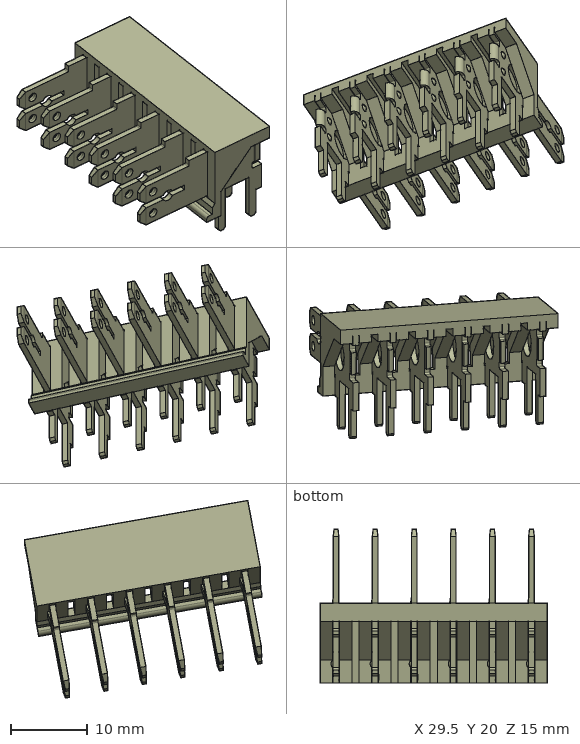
import cadquery as cq


row_length = 29.52
contact_count = 6
pitch = 5.08
contact_thickness = 0.77

housing_depth = 9.03
top_thickness = 1.92
wall_thickness = 1.0
wall_bottom = 10.85
gusset_rear = 3.05
step_depth = 9.45
step_start = 8.38
step_end = 8.92
lip_depth = 10.4
lip_top = 9.95
lip_radius = 0.47
wall_inside = housing_depth - wall_thickness
gusset_bottom = top_thickness + wall_inside - gusset_rear

slot_width = 0.92
slot_top = 0.95

shoulder_depth = 11.99
tab_top = 1.83
tab_bottom = 8.15
step_corner_radius = 0.15
total_depth = 20.0
tip_length = 0.95
tip_rise = 0.8
tip_thickness = 0.53
tip_start = total_depth - tip_length

fork_middle = 5.0
fork_gap = 0.7
fork_start = 12.75
fork_relief_depth = 15.47
fork_relief_diameter = 1.62
prong_hole_depth = 17.9
prong_hole_diameter = 1.2
prong_hole_spacing = 3.48

body_hole_depth = 6.05
body_hole_diameter = 4.0
body_bottom = 10.98
body_arch_top = 8.45
total_height = 15.0
pin_tip_chamfer = 0.32
rear_pin_start = 0.92
rear_pin_end = 2.07
front_pin_start = 6.0
front_pin_end = 7.1

notch_depth = 1.55
notch_top = 2.2
notch_bottom = 7.2
notch_radius = 0.25
curl_depth = 0.38
curl_top = 3.28
curl_bottom = 6.23
curl_radius = 0.85

dimple_depth = 2.5
dimple_drops = (3.87, 7.0)
dimple_diameter = 1.03
dimple_height = 0.27
latch_start = 9.12
latch_end = 11.1
latch_height = 0.3
latch_outer_half = 1.33
latch_root_half = 1.54


def at(depth, drop):
    """Point on the YZ plane."""
    return (-depth, -drop)


def plate(points, thickness):
    """Closed outline in the YZ plane, extruded evenly to both sides of X = 0."""
    return cq.Workplane("YZ").polyline(points).close().extrude(thickness / 2, both=True)


def block(depth_1, depth_2, drop_1, drop_2, thickness):
    """Box between two depths and two drops, centred on X = 0."""
    corners = [at(depth_1, drop_1), at(depth_2, drop_1), at(depth_2, drop_2), at(depth_1, drop_2)]
    return plate(corners, thickness)


def cross_hole(depth, drop, diameter):
    """Cylinder along X, long enough to pass through a contact."""
    hole = cq.Workplane("YZ").center(*at(depth, drop)).circle(diameter / 2)
    return hole.extrude(contact_thickness, both=True)


def make_housing():
    """Angled section with a gusset and front lip, slotted for contacts and vents."""
    outline = [
        at(0, 0),
        at(housing_depth, 0),
        at(housing_depth, step_start),
        at(step_depth, step_end),
        at(step_depth, lip_top),
        at(lip_depth, lip_top),
        at(lip_depth, wall_bottom),
        at(wall_inside, wall_bottom),
        at(wall_inside, gusset_bottom),
        at(gusset_rear, top_thickness),
        at(0, top_thickness),
    ]
    housing = plate(outline, row_length)
    lip_edge = cq.selectors.NearestToPointSelector((0, -lip_depth, -lip_top))
    housing = housing.edges(lip_edge).fillet(lip_radius)

    slot = block(0, housing_depth, slot_top, step_start, slot_width)
    for index in range(2 * contact_count - 1):
        x = (index - (contact_count - 1)) * pitch / 2
        housing = housing.cut(slot.translate((x, 0, 0)))
    return housing


def make_tab():
    """Forked front part of a contact, with prongs tapered at their tips."""
    tab = plate([
        at(wall_inside, slot_top),
        at(shoulder_depth, slot_top),
        at(shoulder_depth, tab_top),
        at(total_depth, tab_top),
        at(total_depth, tab_bottom),
        at(wall_inside, tab_bottom),
    ], contact_thickness)
    step_corner = cq.selectors.NearestToPointSelector((0, -shoulder_depth, -tab_top))
    tab = tab.edges(step_corner).fillet(step_corner_radius)

    fork_top = fork_middle - fork_gap / 2
    fork_bottom = fork_middle + fork_gap / 2
    tab = tab.cut(block(fork_start, total_depth, fork_top, fork_bottom, contact_thickness))
    tab = tab.cut(cross_hole(fork_relief_depth, fork_middle, fork_relief_diameter))
    for side in (-1, 1):
        hole_drop = fork_middle + side * prong_hole_spacing / 2
        tab = tab.cut(cross_hole(prong_hole_depth, hole_drop, prong_hole_diameter))

    for edge, direction in ((tab_top, 1), (fork_top, -1), (fork_bottom, 1), (tab_bottom, -1)):
        corner = [
            at(tip_start, edge),
            at(total_depth, edge),
            at(total_depth, edge + direction * tip_rise),
        ]
        tab = tab.cut(plate(corner, contact_thickness))

    for side in (-1, 1):
        taper = cq.Workplane("XY").polyline([
            (side * contact_thickness / 2, -tip_start),
            (side * contact_thickness / 2, -total_depth),
            (side * tip_thickness / 2, -total_depth),
        ]).close().extrude(-total_height)
        tab = tab.cut(taper)
    return tab


def make_pin(start, end):
    """Solder pin below the contact body, chamfered at its lower end."""
    pin = block(start, end, body_arch_top, total_height, contact_thickness)
    return pin.faces("<Z").edges("|X").chamfer(pin_tip_chamfer)


def make_curl():
    """Strip of sheet that runs rearward and bends through 90 degrees towards +X."""
    outer_x = -contact_thickness / 2
    centre_x = outer_x + curl_radius
    bend_start = curl_depth + curl_radius
    inner_radius = curl_radius - contact_thickness
    section = (
        cq.Workplane("XY")
        .moveTo(outer_x, -notch_depth)
        .lineTo(outer_x, -bend_start)
        .tangentArcPoint((centre_x, -curl_depth), relative=False)
        .lineTo(centre_x, -curl_depth - contact_thickness)
        .radiusArc((centre_x - inner_radius, -bend_start), -inner_radius)
        .lineTo(centre_x - inner_radius, -notch_depth)
        .close()
    )
    return section.extrude(curl_top - curl_bottom).translate((0, 0, -curl_top))


def make_body():
    """Part of a contact that sits behind the front wall and carries the pins."""
    body = block(0, wall_inside, slot_top, body_bottom, contact_thickness)
    body = body.cut(block(rear_pin_end, front_pin_start, body_arch_top, body_bottom, contact_thickness))
    body = body.cut(cross_hole(body_hole_depth, fork_middle, body_hole_diameter))

    for top, bottom in ((notch_top, curl_top), (curl_bottom, notch_bottom)):
        notch = block(0, notch_depth, top, bottom, contact_thickness)
        body = body.cut(notch.edges("|X and <Y").fillet(notch_radius))
    body = body.cut(block(0, notch_depth, curl_top, curl_bottom, contact_thickness))
    body = body.union(make_curl())

    for start, end in ((rear_pin_start, rear_pin_end), (front_pin_start, front_pin_end)):
        body = body.union(make_pin(start, end))
    return body


def make_dimple(drop):
    """Shallow spherical cap on the -X face of a contact."""
    radius = ((dimple_diameter / 2) ** 2 + dimple_height ** 2) / (2 * dimple_height)
    centre_x = radius - dimple_height - contact_thickness / 2
    ball = cq.Workplane("XY").sphere(radius).translate((centre_x, -dimple_depth, -drop))
    core = cq.Workplane("YZ").center(*at(dimple_depth, drop)).circle(dimple_diameter / 2)
    return ball.intersect(core.extrude(-contact_thickness / 2 - dimple_height))


def make_latch():
    """Wedge on the -X face that rises towards the housing."""
    face_x = -contact_thickness / 2
    wedge = cq.Workplane("XY").polyline([
        (face_x, -latch_start),
        (face_x - latch_height, -latch_start),
        (face_x, -latch_end),
    ]).close().extrude(-total_height)
    sides = plate([
        at(latch_start, fork_middle - latch_outer_half),
        at(latch_end, fork_middle - latch_root_half),
        at(latch_end, fork_middle + latch_root_half),
        at(latch_start, fork_middle + latch_outer_half),
    ], 2 * (contact_thickness + latch_height))
    return wedge.intersect(sides)


def make_contact():
    """Complete contact centred on X = 0."""
    contact = make_body().union(make_tab()).union(make_latch())
    for drop in dimple_drops:
        contact = contact.union(make_dimple(drop))
    return contact


result = make_housing()
contact = make_contact()
for index in range(contact_count):
    x = (index - (contact_count - 1) / 2) * pitch
    result = result.union(contact.translate((x, 0, 0)))